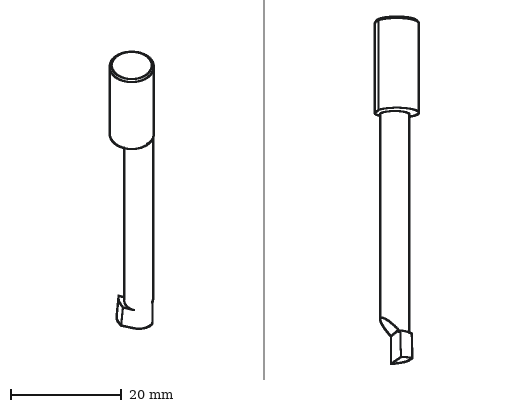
import cadquery as cq
import math

total_length = 63.0
shank_diameter = 8.0
shank_length = 17.0
shank_chamfer = 0.4
width_over_flat = 7.75
neck_diameter = 5.3
relief_root_height = 5.4
relief_angle = 45.0
tip_height = 5.05
flank_arc_radius = 3.8
flank_break_y = -1.9
end_tilt_x = 2.3
end_tilt_y = 7.0

cutting_edge_x = -2.9
flank_break_x = -1.9
front_corner_x = -1.15
flank_shift = 0.4

shank_radius = shank_diameter / 2
neck_radius = neck_diameter / 2
neck_x = shank_radius - neck_radius
shank_bottom = total_length - shank_length
cut_margin = 6.3


def make_shank():
    shank = cq.Workplane("XY").workplane(offset=shank_bottom).circle(shank_radius).extrude(shank_length)
    shank = shank.faces(">Z").chamfer(shank_chamfer)
    keeper = cq.Workplane("XY").box(
        shank_diameter, width_over_flat, total_length, centered=(True, False, False)
    ).translate((0, -shank_radius, 0))
    return shank.intersect(keeper)


def make_neck():
    neck = cq.Workplane("XY").center(neck_x, 0).circle(neck_radius).extrude(shank_bottom)
    relief_depth = neck_radius + cut_margin
    relief_top = relief_root_height + relief_depth * math.tan(math.radians(relief_angle))
    relief = (
        cq.Workplane("YZ")
        .polyline([
            (0, -cut_margin),
            (0, relief_root_height),
            (relief_depth, relief_top),
            (relief_depth, -cut_margin),
        ])
        .close()
        .extrude(shank_diameter, both=True)
    )
    return neck.cut(relief)


def tip_outline(height, shift):
    """Closed tip section with a convex flank behind the cutting edge."""
    edge = (cutting_edge_x + shift, 0)
    flank_break = (flank_break_x + shift, flank_break_y)
    return (
        cq.Workplane("XY").workplane(offset=height)
        .moveTo(neck_x, 0)
        .lineTo(*edge)
        .radiusArc(flank_break, -flank_arc_radius)
        .lineTo(front_corner_x + shift, -neck_radius)
        .lineTo(neck_x, -neck_radius)
        .close()
        .val()
    )


def make_tip():
    outlines = [tip_outline(0, 0), tip_outline(tip_height, flank_shift)]
    return cq.Workplane(cq.Solid.makeLoft(outlines, True))


def make_end_cutter():
    """Block below the sloping end face, which passes through the cutting point."""
    slope_x = math.tan(math.radians(end_tilt_x))
    slope_y = math.tan(math.radians(end_tilt_y))
    end_plane = cq.Plane(origin=(cutting_edge_x, 0, 0), xDir=(0, 1, -slope_y), normal=(-slope_x, slope_y, 1))
    block_side = 4 * shank_diameter
    return cq.Workplane(end_plane).rect(block_side, block_side).extrude(-cut_margin)


lower_end = make_neck().union(make_tip()).cut(make_end_cutter())
result = make_shank().union(lower_end)